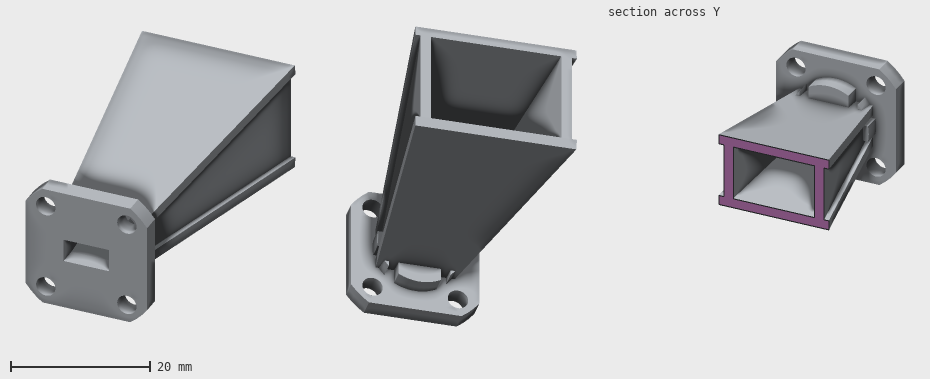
import cadquery as cq
import math


total_length = 47.5
aperture_width = 23.98

guide_width = 7.112
guide_height = 3.556

flange_side = 19.05
flange_disc_diameter = 23.5
flange_thickness = 2.8
screw_hole_diameter = 3.02
screw_spacing_x = 12.7
screw_spacing_z = 13.46

collar_diameter = 12.75
collar_length = 2.5
collar_slot_width = 1.44
tall_rib_width = 6.3
side_rib_height = 2.52

plate_thickness = 1.55
side_wall_width = 1.58
aperture_inner_height = 13.98
plate_overhang = 0.74

throat_y = flange_thickness
flare_length = total_length - throat_y
rise_angle = math.atan((aperture_inner_height - guide_height) / 2 / flare_length)
plate_rise = plate_thickness / math.cos(rise_angle)
aperture_half_width = aperture_width / 2
throat_half_width = guide_width / 2 + side_wall_width + plate_overhang


def block_along_y(width, height, start_y, length):
    """Rectangular block centred on the Y axis."""
    return cq.Workplane("XY").box(width, length, height).translate((0, start_y + length / 2, 0))


def disc_along_y(diameter, start_y, length):
    """Round disc centred on the Y axis."""
    return cq.Workplane("XZ", origin=(0, start_y, 0)).circle(diameter / 2).extrude(-length)


def make_flange():
    square = block_along_y(flange_side, flange_side, 0, flange_thickness)
    return square.intersect(disc_along_y(flange_disc_diameter, 0, flange_thickness))


def make_collar():
    """Slotted collar; the horn walls added later close the inner ends of the slots."""
    collar = disc_along_y(collar_diameter, throat_y, collar_length)
    slot_x = (tall_rib_width + collar_slot_width) / 2
    slot_z = (side_rib_height + collar_slot_width) / 2
    upright_slot = block_along_y(collar_slot_width, collar_diameter, throat_y, collar_length)
    level_slot = block_along_y(collar_diameter, collar_slot_width, throat_y, collar_length)
    for side in (-1, 1):
        collar = collar.cut(upright_slot.translate((side * slot_x, 0, 0)))
        collar = collar.cut(level_slot.translate((0, 0, side * slot_z)))
    return collar


def plan_prism(half_width_inset):
    """Flared plan outline, inset along X from the plate edges, as a tall prism."""
    near = throat_half_width - half_width_inset
    far = aperture_half_width - half_width_inset
    outline = [(-near, throat_y), (near, throat_y), (far, total_length), (-far, total_length)]
    return cq.Workplane("XY").polyline(outline).close().extrude(aperture_width / 2, both=True)


def profile_prism(outline):
    """Outline in the YZ plane, extruded across the full horn width."""
    return cq.Workplane("YZ").polyline(outline).close().extrude(aperture_width / 2, both=True)


def make_horn():
    """Horn filled solid, and the flared cavity to be cut from it."""
    throat_z = guide_height / 2
    aperture_z = aperture_inner_height / 2
    upper_plate = profile_prism([
        (throat_y, throat_z),
        (total_length, aperture_z),
        (
            total_length - plate_thickness * math.sin(rise_angle),
            aperture_z + plate_thickness * math.cos(rise_angle),
        ),
        (throat_y, throat_z + plate_rise),
    ])
    cavity_profile = profile_prism([
        (throat_y, -throat_z),
        (total_length, -aperture_z),
        (total_length, aperture_z),
        (throat_y, throat_z),
    ])
    plates = upper_plate.union(upper_plate.mirror("XY")).intersect(plan_prism(0))
    core = cavity_profile.intersect(plan_prism(plate_overhang))
    cavity = cavity_profile.intersect(plan_prism(plate_overhang + side_wall_width))
    return plates.union(core), cavity


def make_screw_holes():
    return (
        cq.Workplane("XZ")
        .rect(screw_spacing_x, screw_spacing_z, forConstruction=True)
        .vertices()
        .circle(screw_hole_diameter / 2)
        .extrude(-flange_thickness)
    )


horn, horn_cavity = make_horn()
guide_bore = block_along_y(guide_width, guide_height, 0, flange_thickness)

result = (
    make_flange()
    .union(make_collar())
    .union(horn)
    .cut(horn_cavity)
    .cut(guide_bore)
    .cut(make_screw_holes())
)